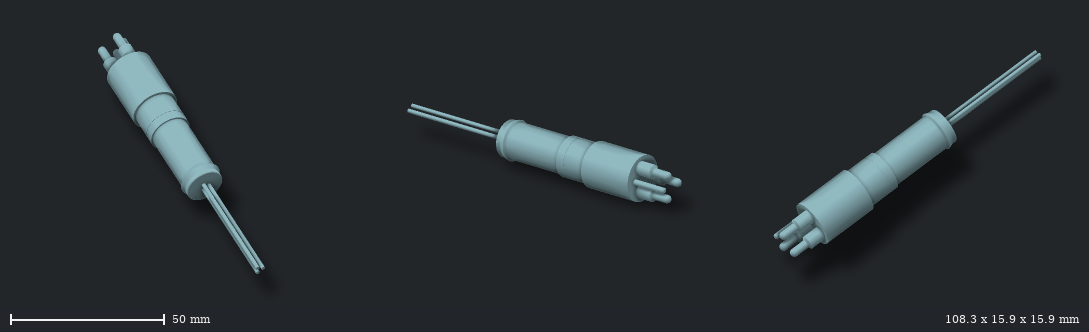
import cadquery as cq
import math

pin_shoulder_x = 6.3
head_face_x = 12.5
head_end_x = 31.7
groove_x = 39.6
collar_end_x = 42.9
barb_start_x = 64.3
barb_peak_x = 64.9
barb_end_x = 66.7
body_end_x = 68.3
total_length = 108.3

head_diameter = 15.9
collar_diameter = 14.0
sleeve_diameter = 12.7
groove_width = 0.2
groove_depth = 0.1
end_chamfer = 0.2

pin_circle_radius = 4.2
pin_spread_angle = 74.0
pin_diameter = 2.8
pin_base_diameter = 4.8
pin_cone_length = 0.6
locator_offset = 4.0
locator_diameter = 2.0
locator_chamfer = 0.38

wire_diameter = 1.3
wire_circle_radius = 1.3
wire_center_y = 0.1
wire_count = 3

embed = 1.1


def rod(start_x, end_x, diameter, y, z):
    """Solid cylinder parallel to X with its axis at (y, z)."""
    return (
        cq.Workplane("YZ", origin=(start_x, y, z))
        .circle(diameter / 2)
        .extrude(end_x - start_x)
    )


def make_body():
    head_r = head_diameter / 2
    collar_r = collar_diameter / 2
    sleeve_r = sleeve_diameter / 2
    groove_r = collar_r - groove_depth
    profile = [
        (head_face_x, 0),
        (head_face_x, head_r),
        (head_end_x, head_r),
        (head_end_x, collar_r),
        (groove_x, collar_r),
        (groove_x, groove_r),
        (groove_x + groove_width, groove_r),
        (groove_x + groove_width, collar_r),
        (collar_end_x, collar_r),
        (collar_end_x, sleeve_r),
        (barb_start_x, sleeve_r),
        (barb_peak_x, collar_r),
        (barb_end_x, sleeve_r),
        (body_end_x - end_chamfer, sleeve_r),
        (body_end_x, sleeve_r - end_chamfer),
        (body_end_x, 0),
    ]
    return cq.Workplane("XY").polyline(profile).close().revolve(360, (0, 0, 0), (1, 0, 0))


def make_contact_pin(y, z):
    """Hemispherical-tipped pin that widens through a short cone to its base."""
    tip_r = pin_diameter / 2
    base_r = pin_base_diameter / 2
    root_x = head_face_x + embed
    tip_mid = (tip_r * (1 - math.sqrt(0.5)), tip_r * math.sqrt(0.5))
    profile = (
        cq.Workplane("XY")
        .moveTo(0, 0)
        .threePointArc(tip_mid, (tip_r, tip_r))
        .lineTo(pin_shoulder_x, tip_r)
        .lineTo(pin_shoulder_x + pin_cone_length, base_r)
        .lineTo(root_x, base_r)
        .lineTo(root_x, 0)
        .close()
    )
    return profile.revolve(360, (0, 0, 0), (1, 0, 0)).translate((0, y, z))


def make_locating_pin():
    locator = rod(0, head_face_x + embed, locator_diameter, locator_offset, 0)
    return locator.faces("<X").chamfer(locator_chamfer)


result = make_body().union(make_locating_pin())

for angle in (pin_spread_angle, 180.0, -pin_spread_angle):
    pin_y = pin_circle_radius * math.cos(math.radians(angle))
    pin_z = pin_circle_radius * math.sin(math.radians(angle))
    result = result.union(make_contact_pin(pin_y, pin_z))

for index in range(wire_count):
    wire_angle = 2 * math.pi * index / wire_count
    wire_y = wire_center_y + wire_circle_radius * math.cos(wire_angle)
    wire_z = wire_circle_radius * math.sin(wire_angle)
    wire = rod(body_end_x - embed, total_length, wire_diameter, wire_y, wire_z)
    result = result.union(wire)